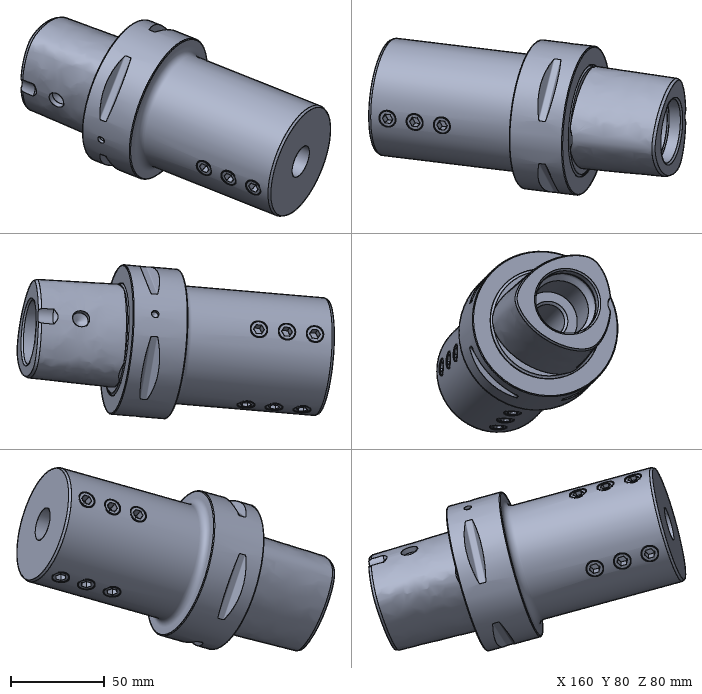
import cadquery as cq
import math

shank_length = 48.0
flange_length = 30.0
overall_length = 160.0
nose_end = overall_length - shank_length

polygon_diameter = 55.0
polygon_lobe = 2.1
shank_taper = 1 / 20
taper_end = -2.0
tip_chamfer_length = 1.6
tip_chamfer_depth = 0.7
outline_points = 72

flange_radius = 40.0
flange_chamfer = 0.5
nose_radius = 31.5
nose_fillet = 4.0
nose_chamfer_length = 1.4
nose_chamfer_depth = 0.7

collar_front = -0.4
recess_radius = 30.2
recess_depth = 0.8
collar_height = recess_depth - collar_front
collar_fillet = 1.5

mouth_radius = 17.2
mouth_chamfer = 1.0
lip_step_radius = 17.6
lip_step_length = 1.2
clamp_groove_radius = 18.65
clamp_groove_start = -40.6
clamp_groove_fillet = 2.7
inner_radius = 15.5
inner_start = -32.1
shoulder_x = -8.0
through_radius = 8.9
through_chamfer = 1.4

groove_x = 12.0
groove_floor_offset = 35.55
groove_floor_width = 3.6
groove_floor_fillet = 0.7
groove_side_angle = 30.0
groove_angles = (45, 135, 225, 315)
index_hole_diameter = 4.0
index_hole_depth = 2.0

notch_radius = 5.6
notch_axis_y = -27.8
notch_length = 8.2
notch_point_angle = 90.0
locating_hole_diameter = 9.2
locating_hole_x = -25.0
locating_hole_floor_y = -21.5
drill_point_angle = 118.0

screw_diameter = 9.4
screw_length = 12.0
screw_top = 31.1
screw_chamfer = 0.4
screw_spacing = 15.3
last_screw_to_end = 10.7
screws_per_row = 3
screw_row_angles = (180, 0, 270)
hex_across_flats = 5.0
hex_depth = 5.0


def polygon_face_wire(x, mean_diameter):
    """Three-lobed outline in the plane at x, with one lobe pointing to +Y."""
    points = []
    for i in range(outline_points):
        angle = 2 * math.pi * i / outline_points
        support = mean_diameter / 2 + polygon_lobe * math.cos(3 * angle)
        slope = -3 * polygon_lobe * math.sin(3 * angle)
        y = support * math.cos(angle) - slope * math.sin(angle)
        z = support * math.sin(angle) + slope * math.cos(angle)
        points.append(cq.Vector(x, y, z))
    return cq.Wire.assembleEdges([cq.Edge.makeSpline(points, periodic=True)])


def polygon_section(x_start, diameter_start, x_end, diameter_end):
    wires = [polygon_face_wire(x_start, diameter_start), polygon_face_wire(x_end, diameter_end)]
    return cq.Workplane(obj=cq.Solid.makeLoft(wires, True))


def revolved(points):
    """Solid of revolution about X from (x, radius) points."""
    return cq.Workplane("XY").polyline(points).close().revolve(360, (0, 0, 0), (1, 0, 0))


def drill(diameter, length, start, direction, point_angle=drill_point_angle):
    """Cylinder from start along direction, ending in a conical drill point."""
    radius = diameter / 2
    point_length = radius / math.tan(math.radians(point_angle / 2))
    barrel = cq.Solid.makeCylinder(radius, length, start, direction)
    tip = cq.Solid.makeCone(radius, 0, point_length, start + direction * length, direction)
    return cq.Workplane(obj=barrel.fuse(tip))


def collar_radius():
    """Radius of the collar at its outer end, where the concave blend stops."""
    return recess_radius - math.sqrt(collar_fillet**2 - (collar_fillet - collar_height) ** 2)


def make_shank():
    tip_x = -shank_length
    chamfer_end = tip_x + tip_chamfer_length

    def diameter_at(x):
        return polygon_diameter - shank_taper * (taper_end - x)

    tip = polygon_section(
        tip_x, diameter_at(tip_x) - 2 * tip_chamfer_depth, chamfer_end, diameter_at(chamfer_end)
    )
    taper = polygon_section(chamfer_end, diameter_at(chamfer_end), taper_end, polygon_diameter)
    foot = polygon_section(taper_end, polygon_diameter, 0, polygon_diameter)
    foot_trim = revolved([
        (taper_end, 0),
        (taper_end, polygon_diameter / 2 + polygon_lobe),
        (collar_front, collar_radius()),
        (0, collar_radius()),
        (0, 0),
    ])
    return tip.union(taper).union(foot.intersect(foot_trim))


def make_flange_and_nose():
    profile = (
        cq.Workplane("XY")
        .moveTo(collar_front, 0)
        .lineTo(collar_front, collar_radius())
        .radiusArc((recess_depth, recess_radius), -collar_fillet)
        .lineTo(0, recess_radius)
        .lineTo(0, flange_radius - flange_chamfer)
        .lineTo(flange_chamfer, flange_radius)
        .lineTo(flange_length - flange_chamfer, flange_radius)
        .lineTo(flange_length, flange_radius - flange_chamfer)
        .lineTo(flange_length, nose_radius + nose_fillet)
        .radiusArc((flange_length + nose_fillet, nose_radius), -nose_fillet)
        .lineTo(nose_end - nose_chamfer_length, nose_radius)
        .lineTo(nose_end, nose_radius - nose_chamfer_depth)
        .lineTo(nose_end, 0)
        .close()
    )
    return profile.revolve(360, (0, 0, 0), (1, 0, 0))


def make_bore():
    tip_x = -shank_length
    blend_drop = clamp_groove_fillet * (1 - math.cos(math.pi / 4))
    blend_run = clamp_groove_fillet * math.sin(math.pi / 4)
    lead_in_radius = clamp_groove_radius - blend_drop
    lead_in_start = inner_start - (lead_in_radius - inner_radius)
    profile = (
        cq.Workplane("XY")
        .moveTo(tip_x, 0)
        .lineTo(tip_x, mouth_radius + mouth_chamfer)
        .lineTo(tip_x + mouth_chamfer, mouth_radius)
        .lineTo(clamp_groove_start, mouth_radius)
        .lineTo(clamp_groove_start, lip_step_radius)
        .lineTo(clamp_groove_start + lip_step_length, lip_step_radius)
        .lineTo(clamp_groove_start + lip_step_length, clamp_groove_radius)
        .lineTo(lead_in_start - blend_run, clamp_groove_radius)
        .radiusArc((lead_in_start, lead_in_radius), clamp_groove_fillet)
        .lineTo(inner_start, inner_radius)
        .lineTo(shoulder_x, inner_radius)
        .lineTo(shoulder_x, through_radius + through_chamfer)
        .lineTo(shoulder_x + through_chamfer, through_radius)
        .lineTo(nose_end, through_radius)
        .lineTo(nose_end, 0)
        .close()
    )
    return profile.revolve(360, (0, 0, 0), (1, 0, 0))


def make_gripper_grooves():
    height = flange_radius - groove_floor_offset
    half_floor = groove_floor_width / 2
    half_mouth = half_floor + height * math.tan(math.radians(groove_side_angle))
    groove = (
        cq.Workplane("XY")
        .polyline([
            (groove_x - half_floor, groove_floor_offset),
            (groove_x + half_floor, groove_floor_offset),
            (groove_x + half_mouth, flange_radius),
            (groove_x - half_mouth, flange_radius),
        ])
        .close()
        .extrude(flange_radius, both=True)
        .faces("<Y")
        .edges("|Z")
        .fillet(groove_floor_fillet)
    )
    return [groove.rotate((0, 0, 0), (1, 0, 0), angle) for angle in groove_angles]


def make_flank_holes():
    inward = cq.Vector(0, 1, 0)
    index_hole = drill(
        index_hole_diameter, index_hole_depth, cq.Vector(groove_x, -flange_radius, 0), inward
    )
    locating_start = cq.Vector(locating_hole_x, -flange_radius, 0)
    locating_hole = drill(
        locating_hole_diameter, flange_radius + locating_hole_floor_y, locating_start, inward
    )
    notch_start = cq.Vector(-shank_length, notch_axis_y, 0)
    notch = drill(2 * notch_radius, notch_length, notch_start, cq.Vector(1, 0, 0), notch_point_angle)
    return [index_hole, locating_hole, notch]


def screw_frames():
    """One workplane per screw, centred on the axis of the part and facing outwards."""
    frames = []
    for row_angle in screw_row_angles:
        turn = math.radians(row_angle)
        outward = cq.Vector(0, math.cos(turn), math.sin(turn))
        for i in range(screws_per_row):
            x = nose_end - last_screw_to_end - i * screw_spacing
            frames.append(cq.Plane(origin=(x, 0, 0), xDir=(1, 0, 0), normal=outward))
    return frames


def make_screw(frame):
    body = cq.Workplane(frame).workplane(offset=screw_top - screw_length)
    body = body.circle(screw_diameter / 2).extrude(screw_length)
    outer_face = cq.selectors.DirectionMinMaxSelector(frame.zDir, True)
    body = body.faces(outer_face).chamfer(screw_chamfer)
    socket_corners = hex_across_flats / math.cos(math.pi / 6)
    socket = cq.Workplane(frame).workplane(offset=screw_top - hex_depth)
    socket = socket.polygon(6, socket_corners).extrude(hex_depth)
    return body.cut(socket)


def make_screw_hole(frame):
    hole = cq.Workplane(frame).workplane(offset=screw_top - screw_length)
    return hole.circle(screw_diameter / 2).extrude(screw_length + nose_radius - screw_top)


frames = screw_frames()

holder = make_flange_and_nose().union(make_shank()).cut(make_bore())
for cutter in make_gripper_grooves() + make_flank_holes():
    holder = holder.cut(cutter)
for frame in frames:
    holder = holder.cut(make_screw_hole(frame))

screws = [make_screw(frame) for frame in frames]

result = cq.Compound.makeCompound([holder.val(), *[screw.val() for screw in screws]])